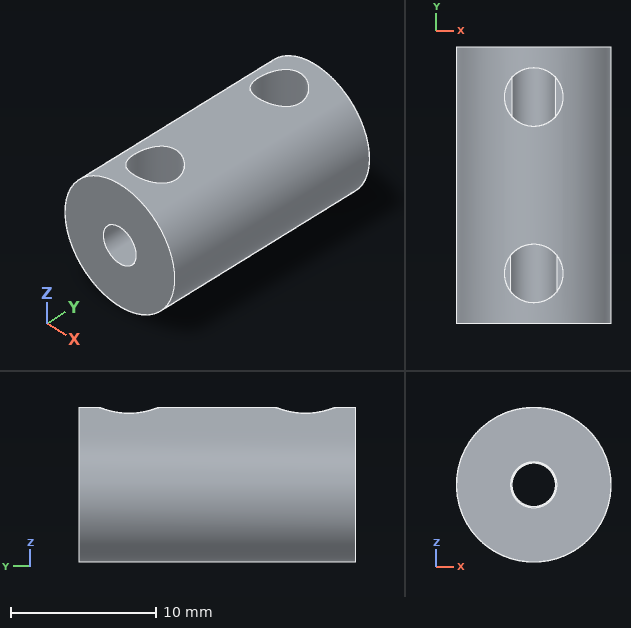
import cadquery as cq

length = 19.05
outer_diameter = 10.67
front_bore_diameter = 3.18
rear_bore_diameter = 3.0
screw_diameter = 4.04
screw_end_distance = 3.45

half_length = length / 2
outer_radius = outer_diameter / 2
screw_y = half_length - screw_end_distance


def cylinder_along_y(diameter, start_y, end_y):
    """Cylinder on the Y axis between two Y positions."""
    direction = cq.Vector(0, 1, 0)
    start = cq.Vector(0, start_y, 0)
    return cq.Workplane(cq.Solid.makeCylinder(diameter / 2, end_y - start_y, start, direction))


body = cylinder_along_y(outer_diameter, -half_length, half_length)

front_bore = cylinder_along_y(front_bore_diameter, -half_length, 0)
rear_bore = cylinder_along_y(rear_bore_diameter, 0, half_length)

screw_holes = (
    cq.Workplane("XY")
    .pushPoints([(0, -screw_y), (0, screw_y)])
    .circle(screw_diameter / 2)
    .extrude(outer_radius)
)

result = body.cut(front_bore).cut(rear_bore).cut(screw_holes)